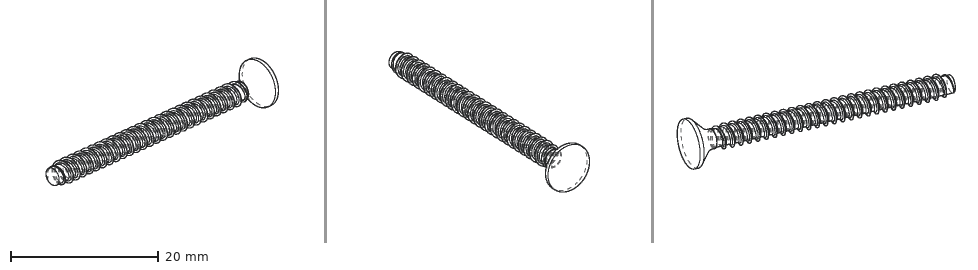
import cadquery as cq
import math

length = 40.0
head_radius = 3.5
rim_height = 0.6
countersink_angle = 45
neck_radius = 1.4
neck_fillet = 1.3
neck_end = 3.65
core_radius = 1.3

crest_radius = 1.75
crest_half_width = 0.03
flank_foot_radius = 1.45
flank_foot_half_width = 0.13
root_radius = 1.2
root_half_width = 0.5
full_turns = 25.5
full_start = 5.1
full_end = 38.1
pitch = (full_end - full_start) / full_turns
entry_turns = 1.0
entry_rise = 0.25
exit_turns = 1.4
exit_fall = 0.35
ridge_points = [
    (root_radius, -root_half_width),
    (flank_foot_radius, -flank_foot_half_width),
    (crest_radius, -crest_half_width),
    (crest_radius, crest_half_width),
    (flank_foot_radius, flank_foot_half_width),
    (root_radius, root_half_width),
]
full_start_angle = -90
straight_helix = 360


def make_blank():
    """Countersunk head, filleted neck and plain core, revolved about the Y axis."""
    cone_slope = math.radians(countersink_angle)
    cone_end = rim_height + (head_radius - neck_radius) / math.tan(cone_slope)
    half_angle = cone_slope / 2
    tangent_length = neck_fillet * math.tan(half_angle)
    tangent_rise = tangent_length * math.sin(cone_slope)
    tangent_advance = tangent_length * math.cos(cone_slope)
    fillet_middle_radius = neck_radius + neck_fillet * (1 - math.cos(half_angle))
    fillet_end = cone_end + tangent_length
    fillet_middle = fillet_end - neck_fillet * math.sin(half_angle)
    return (
        cq.Workplane("XY")
        .lineTo(head_radius, 0)
        .lineTo(head_radius, -rim_height)
        .lineTo(neck_radius + tangent_rise, -(cone_end - tangent_advance))
        .threePointArc((fillet_middle_radius, -fillet_middle), (neck_radius, -fillet_end))
        .lineTo(neck_radius, -neck_end)
        .lineTo(core_radius, -neck_end)
        .lineTo(core_radius, -length)
        .lineTo(0, -length)
        .close()
        .revolve(360, (0, 0, 0), (0, 1, 0))
    )


def helix_edge(start_radius, start_height, turns, rise_per_turn):
    """Right-handed helix about Z that gains rise_per_turn in radius on every turn."""
    slope = math.atan2(rise_per_turn, pitch)
    stretch = 1 / math.cos(slope)
    cone_angle = math.degrees(slope) if rise_per_turn else straight_helix
    wire = cq.Wire.makeHelix(
        pitch * stretch, turns * pitch * stretch, start_radius, angle=cone_angle
    )
    return wire.translate(cq.Vector(0, 0, start_height)).Edges()[0]


def end_face(radius_drop):
    """Flat section of the ridge in the XZ plane, lowered by radius_drop."""
    corners = [cq.Vector(radius - radius_drop, 0, offset) for radius, offset in ridge_points]
    return cq.Face.makeFromWires(cq.Wire.makePolygon(corners, close=True))


def ridge_skin(turns, rise_per_turn=0.0):
    """Side faces of a ridge that starts in the XZ plane and gains height up to its full section."""
    drop = turns * rise_per_turn
    edges = [
        helix_edge(radius - drop, offset, turns, rise_per_turn) for radius, offset in ridge_points
    ]
    next_edges = edges[1:] + edges[:1]
    return [cq.Face.makeRuledSurface(first, second) for first, second in zip(edges, next_edges)]


def place(face, angle, height):
    """Turn a face about Z and lift it along Z."""
    turned = face.rotate(cq.Vector(0, 0, 0), cq.Vector(0, 0, 1), angle)
    return turned.translate(cq.Vector(0, 0, height))


def flip(face):
    """Half turn about X, which reverses the ridge and keeps it right-handed."""
    return face.rotate(cq.Vector(0, 0, 0), cq.Vector(1, 0, 0), 180)


def make_thread():
    """Rising entry, full ridge and fading exit closed into one solid along +Z."""
    full_end_angle = full_start_angle + 360 * full_turns
    entry = ridge_skin(entry_turns, entry_rise) + [end_face(entry_turns * entry_rise)]
    exit_skin = ridge_skin(exit_turns, exit_fall) + [end_face(exit_turns * exit_fall)]

    entry_angle = full_start_angle - 360 * entry_turns
    exit_angle = full_end_angle + 360 * exit_turns
    faces = [place(face, entry_angle, full_start - entry_turns * pitch) for face in entry]
    faces += [place(face, full_start_angle, full_start) for face in ridge_skin(full_turns)]
    faces += [place(flip(face), exit_angle, full_end + exit_turns * pitch) for face in exit_skin]
    return cq.Workplane(obj=cq.Solid.makeSolid(cq.Shell.makeShell(faces)))


thread = make_thread().rotate((0, 0, 0), (1, 0, 0), 90)
beyond_tip = cq.Workplane("XZ", origin=(0, -length, 0)).circle(head_radius).extrude(pitch)
blank = make_blank().rotate((0, 0, 0), (0, 1, 0), -90)
result = blank.union(thread).cut(beyond_tip)